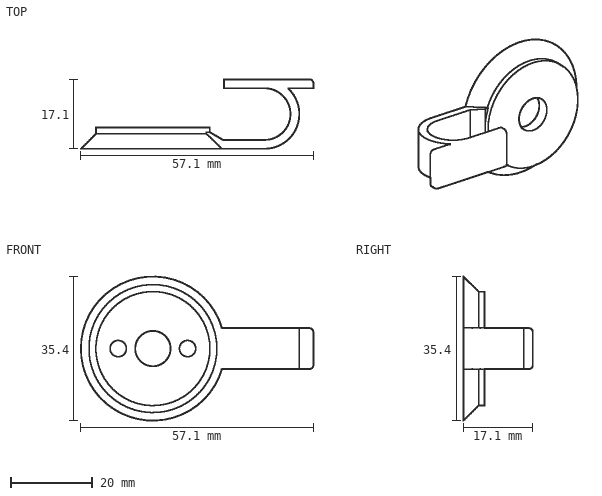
import cadquery as cq
import math

FLANGE_RADIUS = 17.7
RIM_RADIUS = 14.0
CONE_DEPTH = 3.75
DISC_DEPTH = 5.25
MOUTH_RADIUS = 15.7
FLOOR_RADIUS = 14.0
FLOOR_DEPTH = 2.15
BORE_DIAMETER = 8.6

PIN_DIAMETER = 4.0
PIN_OFFSET = 8.5
TALL_PIN_HEIGHT = 1.3
SHORT_PIN_HEIGHT = 0.4

STRIP_THICKNESS = 2.2
STRIP_WIDTH = 10.1
HOOK_DEPTH = 17.1
BEND_X = 27.4
PLATE_START_X = 17.4
PLATE_END_X = 39.4
CORNER_RADIUS = 1.1
BACK_EDGE_RADIUS = 1.0

WEB_END_X = 17.2
WEB_DEPTH = 4.1

OUTER_BEND_RADIUS = HOOK_DEPTH / 2
INNER_BEND_RADIUS = OUTER_BEND_RADIUS - STRIP_THICKNESS
PLATE_FRONT_Y = HOOK_DEPTH - STRIP_THICKNESS
BEND_EXIT_X = BEND_X + math.sqrt(OUTER_BEND_RADIUS**2 - INNER_BEND_RADIUS**2)


def revolve_about_y(profile):
    """Revolve a (radius, depth) outline about the disc axis."""
    return cq.Workplane("XY").polyline(profile).close().revolve(360, (0, 0, 0), (0, 1, 0))


def cylinder_along_y(diameter, start_y, end_y, x=0.0):
    plane = cq.Workplane("XZ", origin=(x, start_y, 0))
    return plane.circle(diameter / 2).extrude(start_y - end_y)


def strip_workplane():
    """Sketch plane at the lower side face of the strip."""
    return cq.Workplane("XY").workplane(offset=-STRIP_WIDTH / 2)


def make_disc():
    return revolve_about_y([
        (0, 0),
        (FLANGE_RADIUS, 0),
        (RIM_RADIUS, CONE_DEPTH),
        (RIM_RADIUS, DISC_DEPTH),
        (0, DISC_DEPTH),
    ])


def make_cavity():
    return revolve_about_y([
        (0, 0),
        (MOUTH_RADIUS, 0),
        (FLOOR_RADIUS, FLOOR_DEPTH),
        (0, FLOOR_DEPTH),
    ])


def make_hook():
    """Straight arm, sloped web and round bend up to the front of the plate."""
    return (
        strip_workplane()
        .moveTo(0, 0)
        .lineTo(BEND_X, 0)
        .threePointArc(
            (BEND_X + OUTER_BEND_RADIUS, OUTER_BEND_RADIUS),
            (BEND_EXIT_X, PLATE_FRONT_Y),
        )
        .lineTo(BEND_X, PLATE_FRONT_Y)
        .threePointArc(
            (BEND_X + INNER_BEND_RADIUS, OUTER_BEND_RADIUS),
            (BEND_X, STRIP_THICKNESS),
        )
        .lineTo(WEB_END_X, STRIP_THICKNESS)
        .lineTo(RIM_RADIUS, WEB_DEPTH)
        .lineTo(0, WEB_DEPTH)
        .close()
        .extrude(STRIP_WIDTH)
    )


def make_plate():
    """Plate with a rounded free end and rounded back edges, square at its start."""
    blank = (
        strip_workplane()
        .moveTo(PLATE_START_X, PLATE_FRONT_Y)
        .lineTo(PLATE_END_X, PLATE_FRONT_Y)
        .lineTo(PLATE_END_X, HOOK_DEPTH)
        .lineTo(PLATE_START_X, HOOK_DEPTH)
        .close()
        .extrude(STRIP_WIDTH)
    )
    rounded_end = blank.edges("|Y and >X").fillet(CORNER_RADIUS)
    return rounded_end.faces(">Y").edges("not <X").fillet(BACK_EDGE_RADIUS)


def make_pin(x, height):
    """Pin rooted in the disc and rising from the dish floor towards the mouth."""
    return cylinder_along_y(PIN_DIAMETER, FLOOR_DEPTH - height, DISC_DEPTH, x)


result = make_disc().union(make_hook()).union(make_plate()).cut(make_cavity())
result = result.cut(cylinder_along_y(BORE_DIAMETER, 0, DISC_DEPTH))
result = result.union(make_pin(-PIN_OFFSET, TALL_PIN_HEIGHT))
result = result.union(make_pin(PIN_OFFSET, SHORT_PIN_HEIGHT))